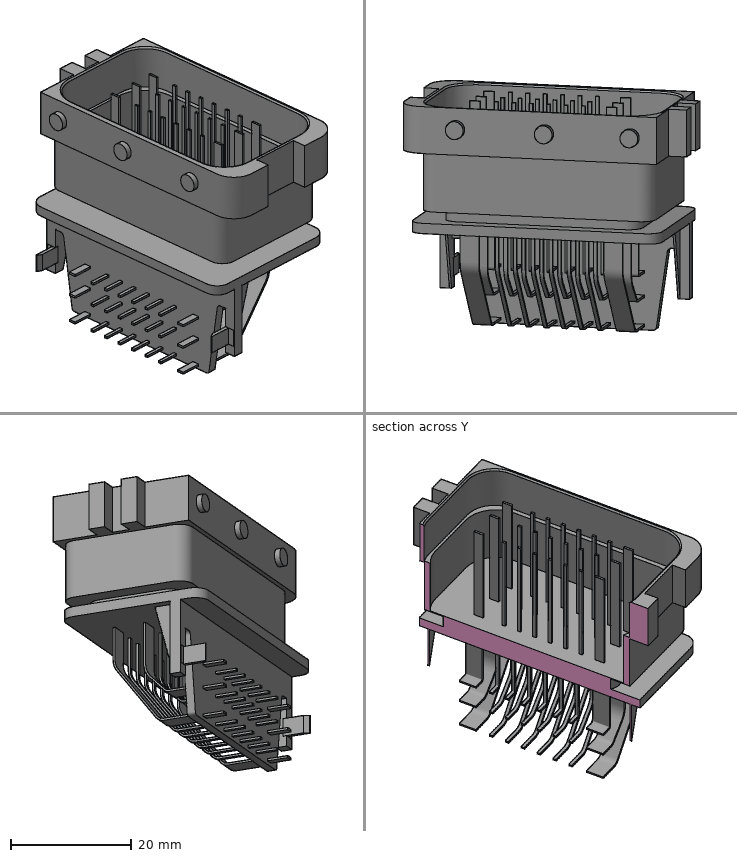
import cadquery as cq
import math


top_z = 40.15
collar_bottom_z = 32.2
ledge_z = 32.6
cavity_floor_z = 22.5
shell_bottom_z = 22.25
flange_top_z = 20.2
flange_bottom_z = 18.45
leg_bottom_z = 5.6

collar_left = 3.1
collar_right = 47.5
collar_front = 2.5
collar_back = 27.5
collar_corner_radius = 4.1
tab_width = 2.9
tab_gap = 3.1
notch_depth = 2.55
peg_radius = 1.5
peg_length = 1.0
peg_drop = 3.6
peg_xs = (7.55, 22.3, 37.55)

body_x = 24.0
body_y = 15.0
shell_size = (39.9, 23.2)
neck_size = (33.8, 17.0)
flange_left = 3.05
flange_size = (42.9, 26.3)
body_corner_radius = 2.5

mouth_x = 23.95
mouth_y = 15.4
mouth_size = (40.38, 23.1)
mouth_chamfer = 0.3
well_size = (39.35, 21.45)
mouth_corner_radius = 5.22
well_corner_radius = 5.85

plate_front = 4.05
plate_thickness = 1.5
plate_back = plate_front + plate_thickness
slot_top_z = 14.0
plate_top_half_width = 17.6
plate_bottom_half_width = 15.6
plate_foot_radius = 0.55
slot_radius = 0.75
leg_width = 2.0
leg_depth = 1.9
gusset_width = 0.4
gusset_reach = 3.55

clip_bottom_z = 7.45
clip_height = 3.1
clip_thickness = 0.65
clip_wall = 0.25
clip_tip_bevel = 0.45
clip_tip_length = 0.9

contact_top_z = 40.05
contact_ys = (19.55, 15.45, 10.4)
contact_center_x = 25.18
contact_pitch = 3.0
wide_contact_xs = (12.82, 36.35)
wide_contact_width = 1.75

tail_center_x = 24.7
tail_pitch = 3.1
wide_tail_xs = (12.45, 37.15)
wide_tail_width = 3.25
wide_tail_tip_width = 1.3
tail_tip_y = 0.3
tail_rows = (
    ((20.0, 11.65, 1.05), (11.65, 0.8, 0.85)),
    ((14.35, 9.7, 1.4), (10.4, 5.75, 0.5)),
    ((9.55, 9.9, 0.35),),
)

thin_pins_per_row = 6
thin_pin_width = 0.6
pin_thickness = 0.4
pin_root = 0.48
floor_root = 0.25

collar_middle_y = (collar_front + collar_back) / 2
flange_right = flange_left + flange_size[0]
flange_x = flange_left + flange_size[0] / 2
flange_y = flange_size[1] / 2


def box(x0, x1, y0, y1, z0, z1):
    """Axis-aligned block between two opposite corners."""
    return cq.Workplane("XY").box(x1 - x0, y1 - y0, z1 - z0, centered=False).translate((x0, y0, z0))


def rounded_block(center_x, center_y, size, radius, z0, z1):
    """Upright block with rounded vertical edges."""
    block = box(-size[0] / 2, size[0] / 2, -size[1] / 2, size[1] / 2, z0, z1)
    return block.edges("|Z").fillet(radius).translate((center_x, center_y, 0))


def make_collar():
    """Mouth collar with two tabs on the left, a notch on the right and pegs front and back."""
    collar = box(collar_left, collar_right, collar_front, collar_back, collar_bottom_z, top_z)
    collar = collar.edges("|Z and >X").fillet(collar_corner_radius)

    half_span = tab_width + tab_gap / 2
    notch = box(
        collar_right - notch_depth, collar_right,
        collar_middle_y - half_span, collar_middle_y + half_span,
        collar_bottom_z, top_z,
    )
    collar = collar.cut(notch)

    for tab_front in (collar_middle_y - half_span, collar_middle_y + tab_gap / 2):
        collar = collar.union(
            box(0, collar_left, tab_front, tab_front + tab_width, collar_bottom_z, top_z)
        )

    peg_span = collar_back - collar_front + 2 * peg_length
    for peg_x in peg_xs:
        peg = cq.Solid.makeCylinder(
            peg_radius,
            peg_span,
            cq.Vector(peg_x, collar_front - peg_length, top_z - peg_drop),
            cq.Vector(0, 1, 0),
        )
        collar = collar.union(cq.Workplane(obj=peg))
    return collar


def make_cavity():
    """Stepped opening: a chamfered mouth inside the collar and a smaller well below it."""
    mouth = rounded_block(mouth_x, mouth_y, mouth_size, mouth_corner_radius, ledge_z, top_z)
    flare_size = (mouth_size[0] + 2 * mouth_chamfer, mouth_size[1] + 2 * mouth_chamfer)
    flare = rounded_block(
        mouth_x, mouth_y, flare_size, mouth_corner_radius + mouth_chamfer, ledge_z, top_z
    )
    flare = flare.faces("<Z").chamfer(mouth_chamfer)
    flare = flare.translate((0, 0, top_z - ledge_z - mouth_chamfer))
    well = rounded_block(mouth_x, mouth_y, well_size, well_corner_radius, cavity_floor_z, top_z)
    return mouth.union(flare).union(well)


def make_guide_plate():
    """Tapered plate that the tails pass through, hanging from a full-width band."""
    band = box(flange_left, flange_right, plate_front, plate_back, slot_top_z, flange_bottom_z)
    taper = (
        cq.Workplane("XZ")
        .polyline([
            (flange_x - plate_top_half_width, slot_top_z),
            (flange_x - plate_bottom_half_width, 0),
            (flange_x + plate_bottom_half_width, 0),
            (flange_x + plate_top_half_width, slot_top_z),
        ])
        .close()
        .extrude(-plate_thickness)
        .translate((0, plate_front, 0))
    )
    taper = taper.edges("|Y and <Z").fillet(plate_foot_radius)
    plate = band.union(taper)
    for side in (-1, 1):
        corner = (flange_x + side * plate_top_half_width, plate_back, slot_top_z)
        slot_corner = plate.edges("|Y").edges(cq.selectors.NearestToPointSelector(corner))
        plate = slot_corner.fillet(slot_radius)
    return plate


def make_leg():
    """Left leg with a thin gusset behind its inner side."""
    leg_inner = flange_left + leg_width
    leg_back = plate_front + leg_depth
    leg = box(flange_left, leg_inner, plate_front, leg_back, leg_bottom_z, flange_bottom_z)
    gusset = (
        cq.Workplane("YZ")
        .polyline([
            (leg_back, leg_bottom_z),
            (leg_back, flange_bottom_z),
            (leg_back + gusset_reach, flange_bottom_z),
        ])
        .close()
        .extrude(gusset_width)
        .translate((leg_inner - gusset_width, 0, 0))
    )
    return leg.union(gusset)


def make_clip():
    """Left clip: a foot let into the front of the leg and a blade with a bevelled tip."""
    foot_outer = flange_left + clip_wall
    blade_inner = flange_left + leg_width
    blade_outer = blade_inner - clip_thickness
    foot_back = plate_front + clip_thickness
    return (
        cq.Workplane("XY", origin=(0, 0, clip_bottom_z))
        .polyline([
            (foot_outer, foot_back),
            (foot_outer, plate_front),
            (blade_outer, plate_front),
            (blade_outer, 0),
            (blade_inner - clip_tip_bevel, 0),
            (blade_inner, clip_tip_length),
            (blade_inner, foot_back),
        ])
        .close()
        .extrude(clip_height)
    )


def mirror_to_right(left_part):
    """Mirror image of a part about the middle of the flange."""
    return left_part.mirror("YZ", (flange_x, 0, 0))


def thin_xs(center_x, pitch):
    """Evenly pitched X positions of the thin pins in a row."""
    first_x = center_x - pitch * (thin_pins_per_row - 1) / 2
    return [first_x + i * pitch for i in range(thin_pins_per_row)]


def make_contacts():
    """Straight contacts rising from the cavity floor."""
    columns = [(x, thin_pin_width) for x in thin_xs(contact_center_x, contact_pitch)]
    columns += [(x, wide_contact_width) for x in wide_contact_xs]
    contacts = []
    for y in contact_ys:
        for x, width in columns:
            contacts.append(box(
                x - width / 2, x + width / 2,
                y - pin_thickness / 2, y + pin_thickness / 2,
                cavity_floor_z - floor_root, contact_top_z,
            ))
    return contacts


def tail_path(bends):
    """Centre line of a tail in the YZ plane; each bend is (y, z, setback of its arc)."""
    start = (bends[0][0], flange_bottom_z + pin_root)
    path = cq.Workplane("YZ").moveTo(*start)
    corners = [start] + [(y, z) for y, z, _ in bends] + [(tail_tip_y, bends[-1][1])]
    for i, (y, z, setback) in enumerate(bends, start=1):
        before, after = corners[i - 1], corners[i + 1]
        to_before = math.dist((y, z), before)
        to_after = math.dist((y, z), after)
        arc_start = tuple(c + (b - c) * setback / to_before for c, b in zip((y, z), before))
        arc_end = tuple(c + (a - c) * setback / to_after for c, a in zip((y, z), after))
        path = path.lineTo(*arc_start).tangentArcPoint(arc_end, relative=False)
    return path.lineTo(*corners[-1]).wire()


def make_tail(bends, width):
    """One tail of constant width, centred on X = 0."""
    section = cq.Workplane("XY", origin=(0, bends[0][0], flange_bottom_z + pin_root))
    return section.rect(width, pin_thickness).sweep(tail_path(bends))


def make_wide_tail(bends):
    """Wide tail that narrows to its tip where it enters the guide plate."""
    half_width = wide_tail_width / 2
    tip_zone = box(-half_width, half_width, 0, plate_back, 0, flange_bottom_z)
    return make_tail(bends, wide_tail_width).cut(tip_zone).union(make_tail(bends, wide_tail_tip_width))


def make_tails():
    """Tails running down from the flange and bent forward through the guide plate."""
    tails = []
    for bends in tail_rows:
        thin_tail = make_tail(bends, thin_pin_width)
        wide_tail = make_wide_tail(bends)
        tails += [thin_tail.translate((x, 0, 0)) for x in thin_xs(tail_center_x, tail_pitch)]
        tails += [wide_tail.translate((x, 0, 0)) for x in wide_tail_xs]
    return tails


def make_housing(clips):
    """Housing with its pins, recessed where the clip feet sit."""
    shell = rounded_block(
        body_x, body_y, shell_size, body_corner_radius, shell_bottom_z, collar_bottom_z
    )
    neck = rounded_block(body_x, body_y, neck_size, body_corner_radius, flange_top_z, shell_bottom_z)
    flange = rounded_block(
        flange_x, flange_y, flange_size, body_corner_radius, flange_bottom_z, flange_top_z
    )
    left_leg = make_leg()
    housing = make_collar().union(shell).cut(make_cavity())
    for part in (neck, flange, make_guide_plate(), left_leg, mirror_to_right(left_leg)):
        housing = housing.union(part)
    for pin in make_contacts() + make_tails():
        housing = housing.union(pin)
    housing = housing.clean()
    for clip in clips:
        housing = housing.cut(clip)
    return housing


left_clip = make_clip()
clips = [left_clip, mirror_to_right(left_clip)]
housing = make_housing(clips)

result = cq.Compound.makeCompound([housing.solids().val(), *[clip.val() for clip in clips]])